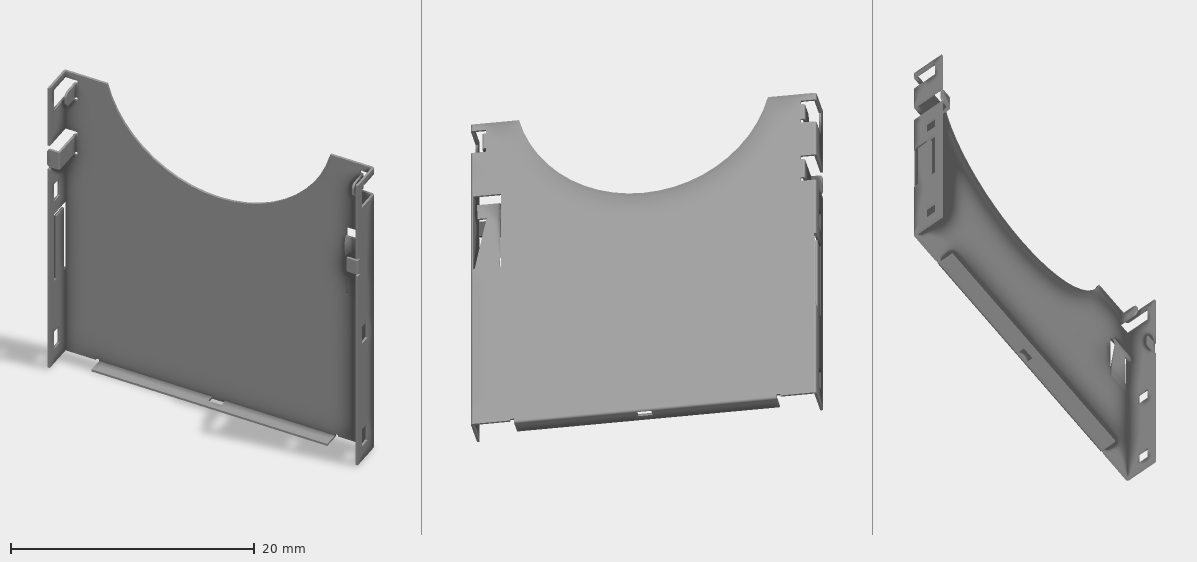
import cadquery as cq

width = 28.8
sheet = 0.2
bend_radius = sheet
fold_radius = 0.187
plate_top = 14.35
plate_bottom = -14.15
wall_depth = 2.97
half_width = width / 2
inner_half_width = half_width - sheet

finger_half_chord = 10.37
finger_bottom = 6.35

lip_left = -11.1
lip_right = 10.8
lip_depth = 1.53
lip_relief_width = 0.32
lip_relief_height = 0.15
lip_hole_width = 1.2
lip_hole_depth = 0.85

leg_inner_face = 13.25
relief_width = 0.15
relief_radius = 0.072

tongue_center = 12.67
tongue_height = 1.38
tongue_depth = 1.85
tongue_radius = 0.45
tongue_cutout_height = 2.07

opening_far = 2.25
window_near = 1.27
window_height = 1.73
left_window_centers = [3.23, -11.8]
right_window_centers = [-1.35, -11.8]

hook_center = 7.3
hook_height = 1.73
hook_depth = 3.05
hook_corner = 0.25
hook_notch_height = 2.4

edge_hook_bottom = 5.3
edge_hook_top = 6.68
edge_hook_tip = 13.35
edge_relief_height = 0.17
edge_relief_depth = 0.35

arm_near = 0.5
arm_far = 1.8
arm_top = 0.6
arm_root = -5.73
arm_slot_top = 1.05

clip_window_left = 11.87
clip_window_top = 7.5
clip_left = 11.98
clip_root = 0.6
clip_root_right = 14.05
clip_neck_right = 13.15
clip_head_right = 13.95
clip_head_bottom = 5.62
clip_top = 6.83
clip_bend = 1.9
clip_bend_depth = 0.1
clip_crest_depth = 0.52
clip_tip_depth = 0.35


def box(x_range, depth_range, z_range):
    """Axis-aligned block; depths are measured from the plate's outer face toward -Y."""
    x0, x1 = x_range
    near, far = depth_range
    z0, z1 = z_range
    return cq.Workplane("XY").box(x1 - x0, far - near, z1 - z0, centered=False).translate((x0, -far, z0))


def centered(middle, size):
    return (middle - size / 2, middle + size / 2)


def mirrored(body):
    return body.mirror("YZ")


def make_channel():
    """Plate with both side walls, the folds rounded on the outside."""
    z_range = (plate_bottom, plate_top)
    outer = box((-half_width, half_width), (0, wall_depth), z_range)
    outer = outer.edges("|Z and >Y").fillet(bend_radius)
    hollow = box((-inner_half_width, inner_half_width), (sheet, wall_depth), z_range)
    return outer.cut(hollow)


def make_finger_cutout():
    sag = plate_top - finger_bottom
    radius = (finger_half_chord**2 + sag**2) / (2 * sag)
    circle = cq.Workplane("XZ").center(0, finger_bottom + radius).circle(radius)
    return circle.extrude(sheet)


def make_lip():
    lip = box((lip_left, lip_right), (0, lip_depth), (plate_bottom - sheet, plate_bottom))
    lip = lip.edges("|X and >Y and <Z").fillet(fold_radius)
    hole = box(centered(0, lip_hole_width), (sheet, lip_hole_depth), (plate_bottom - sheet, plate_bottom))
    return lip.cut(hole)


def make_lip_relief(x_start):
    z_range = (plate_bottom, plate_bottom + lip_relief_height)
    return box((x_start, x_start + lip_relief_width), (0, sheet), z_range)


def make_tab_cutout(center, cutout_height, tab_height, wall_far):
    """Opening on the left side around a folded tab, with bend reliefs beside the tab."""
    relief_end = -leg_inner_face + relief_width
    z_range = centered(center, cutout_height)
    in_plate = box((-half_width, relief_end), (0, sheet), z_range)
    in_plate = in_plate.edges("|Y and >X").fillet(relief_radius)
    kept = box((-leg_inner_face, relief_end), (0, sheet), centered(center, tab_height))
    in_wall = box((-half_width, -inner_half_width), (0, wall_far), z_range)
    return in_plate.cut(kept).union(in_wall)


def make_tongue():
    x_range = (-leg_inner_face - sheet, -leg_inner_face)
    tongue = box(x_range, (0, tongue_depth), centered(tongue_center, tongue_height))
    tongue = tongue.edges("|X and <Y").fillet(tongue_radius)
    return tongue.edges("|Z and <X and >Y").fillet(fold_radius)


def make_hook():
    z_range = centered(hook_center, hook_height)
    leg_x = (-leg_inner_face - sheet, -leg_inner_face)
    leg = box(leg_x, (0, hook_depth), z_range)
    leg = leg.edges("|Z and <X and >Y").fillet(fold_radius)
    end = box((-half_width, -leg_inner_face), (hook_depth - sheet, hook_depth), z_range)
    end = end.edges("|Y and <X").fillet(hook_corner)
    return leg.union(end).edges("|Z and >X and <Y").fillet(fold_radius)


def make_edge_hook():
    z_range = (edge_hook_bottom, edge_hook_top)
    return box((edge_hook_tip, half_width), (wall_depth - sheet, wall_depth), z_range)


def make_edge_hook_rounding():
    """Material outside the rounded fold between the right wall and its hook."""
    z_range = (edge_hook_bottom, edge_hook_top)
    corner = box((half_width - bend_radius, half_width), (wall_depth - bend_radius, wall_depth), z_range)
    rounded = corner.edges("|Z and >X and <Y").fillet(fold_radius)
    return corner.cut(rounded)


def make_edge_relief(z_start):
    depths = (wall_depth - edge_relief_depth, wall_depth)
    relief = box((inner_half_width, half_width), depths, (z_start, z_start + edge_relief_height))
    return relief.edges("|X and >Y").fillet(relief_radius)


def make_window(wall_side, center):
    outer_face = wall_side * half_width
    inner_face = wall_side * inner_half_width
    x_range = (min(outer_face, inner_face), max(outer_face, inner_face))
    return box(x_range, (window_near, opening_far), centered(center, window_height))


def make_arm_slot():
    x_range = (-half_width, -inner_half_width)
    slot = box(x_range, (0, opening_far), (arm_root, arm_slot_top))
    return slot.cut(box(x_range, (arm_near, arm_far), (arm_root, arm_top)))


def make_clip():
    """Tapered tongue with a wide head, bent toward -Y and curled back at the tip."""
    crest_middle = (clip_head_bottom + clip_top) / 2
    profile = (
        cq.Workplane("YZ")
        .moveTo(0, clip_root)
        .lineTo(-clip_bend_depth, clip_bend)
        .lineTo(-clip_crest_depth, clip_head_bottom)
        .threePointArc((-clip_crest_depth, crest_middle), (-clip_tip_depth, clip_top))
        .lineTo(-clip_tip_depth - sheet, clip_top)
        .threePointArc(
            (-clip_crest_depth - sheet, crest_middle), (-clip_crest_depth - sheet, clip_head_bottom)
        )
        .lineTo(-clip_bend_depth - sheet, clip_bend)
        .lineTo(-sheet, clip_root)
        .close()
        .extrude(half_width)
    )
    outline = (
        cq.Workplane("XZ")
        .moveTo(clip_left, clip_root)
        .lineTo(clip_left, clip_top)
        .lineTo(clip_head_right, clip_top)
        .lineTo(clip_head_right, clip_head_bottom)
        .lineTo(clip_neck_right, clip_head_bottom)
        .lineTo(clip_root_right, clip_root)
        .close()
        .extrude(wall_depth)
    )
    return profile.intersect(outline)


result = make_channel()
result = result.cut(make_finger_cutout())

result = result.cut(make_lip_relief(lip_left - lip_relief_width))
result = result.cut(make_lip_relief(lip_right))
result = result.union(make_lip())

tongue_cutout = make_tab_cutout(tongue_center, tongue_cutout_height, tongue_height, opening_far)
tongue = make_tongue()
result = result.cut(tongue_cutout).cut(mirrored(tongue_cutout))
result = result.union(tongue).union(mirrored(tongue))

result = result.cut(make_tab_cutout(hook_center, hook_notch_height, hook_height, wall_depth))
result = result.union(make_hook())
result = result.cut(make_edge_relief(edge_hook_top))
result = result.cut(make_edge_relief(edge_hook_bottom - edge_relief_height))
result = result.union(make_edge_hook()).cut(make_edge_hook_rounding())

for window_center in left_window_centers:
    result = result.cut(make_window(-1, window_center))
for window_center in right_window_centers:
    result = result.cut(make_window(1, window_center))
result = result.cut(make_arm_slot())

clip_window = box((clip_window_left, inner_half_width), (0, sheet), (clip_root, clip_window_top))
result = result.cut(clip_window).union(make_clip())